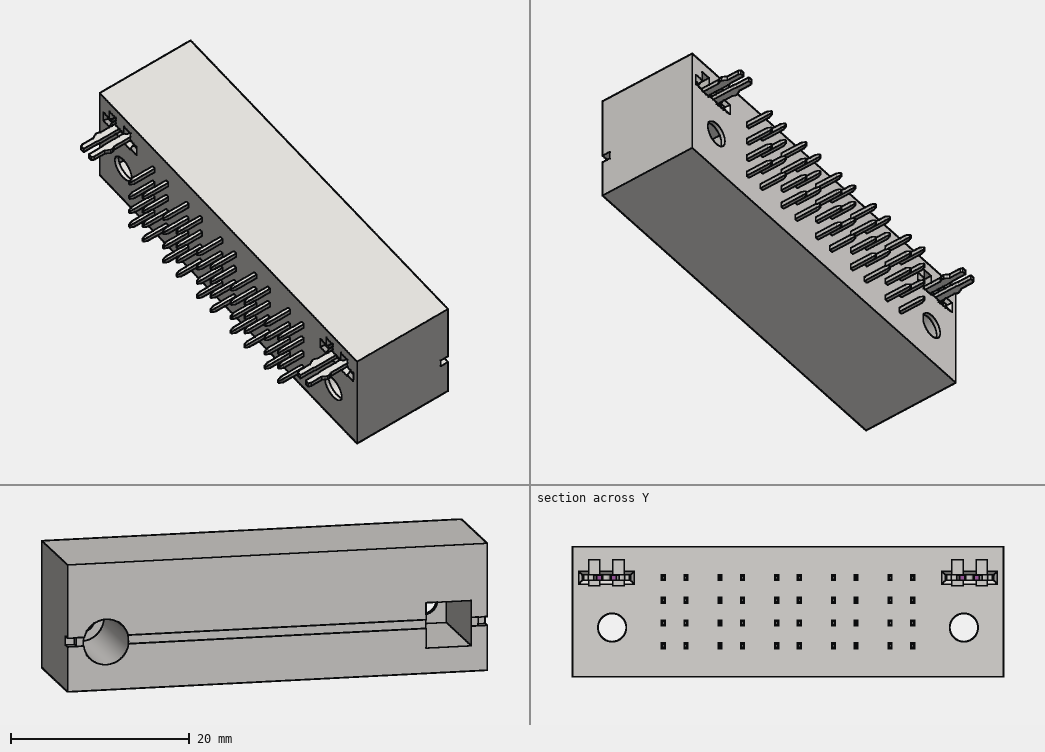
import cadquery as cq
HOUSING_LENGTH = 48.26
HOUSING_DEPTH = 12.7
HOUSING_HEIGHT = 14.58

SCREW_HOLE_DIAMETER = 3.14
SCREW_HOLE_X = 19.69
SCREW_HOLE_Z = -1.78

GUIDE_SOCKET_SIZE = 5.2
GUIDE_SOCKET_FLOOR_Y = 0.5

PIN_PITCH = 2.54
PIN_PAIR_COUNT = 5
PIN_PAIR_PITCH = 2.5 * PIN_PITCH
PIN_ROW_COUNT = 4
PIN_WIDTH = 0.42
PIN_THICKNESS = 0.64
PIN_REACH = 3.4
PIN_TIP_LENGTH = 0.5
PIN_TIP_WIDTH = 0.2
PIN_TIP_THICKNESS = 0.35

CLIP_X = 20.32
CLIP_Z = 1.5 * PIN_PITCH
CLIP_THICKNESS = 0.6
CLIP_EAR_EDGE = 2.55
CLIP_EAR_INNER = 2.05
CLIP_EAR_RECESS = 0.4
LEG_ROOT_Y = 0.8
LEG_INNER = 0.42
LEG_OUTER = 1.27
LEG_REACH = 4.7
LEG_TIP_INNER = 0.48
LEG_TIP_OUTER = 1.1
LEG_TIP_CHAMFER = 0.3
LEG_TIP_BEVEL = 0.12
BARB_START = 1.74
BARB_CREST_START = 2.03
BARB_CREST_END = 2.33
BARB_END = 2.62
LEG_STEP_END = 2.9
BARB_CREST = 1.42

SLOT_DEPTH = 3.0
SLOT_HALF_LENGTH = 2.7
SLOT_FLARE = 0.42
SLOT_FLARE_DEPTH = 0.4
POCKET_WIDTH = 1.26
POCKET_X = 1.36
POCKET_BOTTOM_Z = 2.91
POCKET_TOP_Z = 5.81

NOTCH_HEIGHT = 1.0
NOTCH_Z = -1.63
NOTCH_DEPTH = 1.03
NOTCH_LENGTH = 1.03
GROOVE_DEPTH = 0.15


def box(x_min, x_max, y_min, y_max, z_min, z_max):
    """Axis-aligned block between the given limits."""
    return cq.Workplane("XY").box(
        x_max - x_min, y_max - y_min, z_max - z_min, centered=False
    ).translate((x_min, y_min, z_min))


def solder_face_plane(x, y, z):
    """Sketch plane at depth y with its normal toward -Y."""
    return cq.Plane(origin=(x, y, z), xDir=(1, 0, 0), normal=(0, -1, 0))


def housing():
    half_length = HOUSING_LENGTH / 2
    half_height = HOUSING_HEIGHT / 2
    return box(-half_length, half_length, 0, HOUSING_DEPTH, -half_height, half_height)


def screw_holes():
    return (
        cq.Workplane(solder_face_plane(0, HOUSING_DEPTH, 0))
        .pushPoints([(-SCREW_HOLE_X, SCREW_HOLE_Z), (SCREW_HOLE_X, SCREW_HOLE_Z)])
        .circle(SCREW_HOLE_DIAMETER / 2)
        .extrude(HOUSING_DEPTH)
    )


def guide_sockets():
    """Sockets open toward +Y, coaxial with the screw holes."""
    length = HOUSING_DEPTH - GUIDE_SOCKET_FLOOR_Y
    mating_face = cq.Workplane(solder_face_plane(0, HOUSING_DEPTH, 0))
    square = (
        mating_face.center(-SCREW_HOLE_X, SCREW_HOLE_Z)
        .rect(GUIDE_SOCKET_SIZE, GUIDE_SOCKET_SIZE)
        .extrude(length)
    )
    return square.union(
        mating_face.center(SCREW_HOLE_X, SCREW_HOLE_Z).circle(GUIDE_SOCKET_SIZE / 2).extrude(length)
    )


def mating_face_notches():
    """Shallow groove along X that deepens into a notch at each end."""
    half_length = HOUSING_LENGTH / 2
    z_min = NOTCH_Z - NOTCH_HEIGHT / 2
    z_max = NOTCH_Z + NOTCH_HEIGHT / 2
    notch_y = HOUSING_DEPTH - NOTCH_DEPTH
    groove_y = HOUSING_DEPTH - GROOVE_DEPTH
    cut = box(-half_length, half_length, groove_y, HOUSING_DEPTH, z_min, z_max)
    for x_min in (-half_length, half_length - NOTCH_LENGTH):
        cut = cut.union(box(x_min, x_min + NOTCH_LENGTH, notch_y, HOUSING_DEPTH, z_min, z_max))
    return cut


def clip_slot(x):
    """Slot with a flared mouth, crossed by one taller pocket per leg."""
    length = 2 * SLOT_HALF_LENGTH
    cut = (
        cq.Workplane(solder_face_plane(x, SLOT_FLARE_DEPTH, CLIP_Z))
        .rect(length, CLIP_THICKNESS)
        .workplane(offset=SLOT_FLARE_DEPTH)
        .rect(length + 2 * SLOT_FLARE, CLIP_THICKNESS + 2 * SLOT_FLARE)
        .loft(ruled=True)
    )
    half_thickness = CLIP_THICKNESS / 2
    cut = cut.union(
        box(x - SLOT_HALF_LENGTH, x + SLOT_HALF_LENGTH, 0, SLOT_DEPTH,
            CLIP_Z - half_thickness, CLIP_Z + half_thickness)
    )
    for pocket_x in (x - POCKET_X, x + POCKET_X):
        cut = cut.union(
            box(pocket_x - POCKET_WIDTH / 2, pocket_x + POCKET_WIDTH / 2, 0, SLOT_DEPTH,
                POCKET_BOTTOM_Z, POCKET_TOP_Z)
        )
    return cut


def half_clip():
    """Flat +X half of a clip centred on X = 0: one leg, a rounded valley and the ear."""
    gap_floor = LEG_ROOT_Y + LEG_INNER
    valley_radius = (CLIP_EAR_INNER - LEG_OUTER) / 2
    valley_centre = (CLIP_EAR_INNER + LEG_OUTER) / 2
    outline_plane = cq.Workplane("XY").workplane(offset=CLIP_Z - CLIP_THICKNESS / 2)
    return (
        outline_plane.moveTo(0, SLOT_DEPTH)
        .lineTo(0, gap_floor)
        .radiusArc((LEG_INNER, LEG_ROOT_Y), LEG_INNER)
        .lineTo(LEG_INNER, -BARB_END)
        .lineTo(LEG_TIP_INNER, -LEG_STEP_END)
        .lineTo(LEG_TIP_INNER, -LEG_REACH)
        .lineTo(LEG_TIP_OUTER - LEG_TIP_BEVEL, -LEG_REACH)
        .lineTo(LEG_TIP_OUTER, LEG_TIP_CHAMFER - LEG_REACH)
        .lineTo(LEG_TIP_OUTER, -LEG_STEP_END)
        .lineTo(LEG_OUTER, -BARB_END)
        .lineTo(BARB_CREST, -BARB_CREST_END)
        .lineTo(BARB_CREST, -BARB_CREST_START)
        .lineTo(LEG_OUTER, -BARB_START)
        .lineTo(LEG_OUTER, LEG_ROOT_Y)
        .threePointArc((valley_centre, LEG_ROOT_Y + valley_radius), (CLIP_EAR_INNER, LEG_ROOT_Y))
        .lineTo(CLIP_EAR_INNER, CLIP_EAR_RECESS)
        .lineTo(CLIP_EAR_EDGE, CLIP_EAR_RECESS)
        .lineTo(CLIP_EAR_EDGE, SLOT_DEPTH)
        .close()
        .extrude(CLIP_THICKNESS)
    )


def clip(x):
    half = half_clip()
    return half.union(half.mirror("YZ")).translate((x, 0, 0))


def pin():
    """Straight solder pin along -Y from the solder face, with a tapered tip."""
    shank_length = PIN_REACH - PIN_TIP_LENGTH
    shank = cq.Workplane(solder_face_plane(0, 0, 0)).rect(PIN_WIDTH, PIN_THICKNESS).extrude(shank_length)
    return (
        shank.faces("<Y")
        .workplane()
        .rect(PIN_WIDTH, PIN_THICKNESS)
        .workplane(offset=PIN_TIP_LENGTH)
        .rect(PIN_TIP_WIDTH, PIN_TIP_THICKNESS)
        .loft(ruled=True, combine=True)
    )


def pin_positions():
    """X and Z of every solder pin."""
    positions = []
    for pair in range(PIN_PAIR_COUNT):
        pair_x = (pair - (PIN_PAIR_COUNT - 1) / 2) * PIN_PAIR_PITCH
        for row in range(PIN_ROW_COUNT):
            z = (row - (PIN_ROW_COUNT - 1) / 2) * PIN_PITCH
            positions.append((pair_x - PIN_PITCH / 2, z))
            positions.append((pair_x + PIN_PITCH / 2, z))
    return positions


result = housing().cut(screw_holes()).cut(guide_sockets()).cut(mating_face_notches())
for clip_x in (-CLIP_X, CLIP_X):
    result = result.cut(clip_slot(clip_x)).union(clip(clip_x))
solder_pin = pin()
for pin_x, pin_z in pin_positions():
    result = result.union(solder_pin.translate((pin_x, 0, pin_z)))